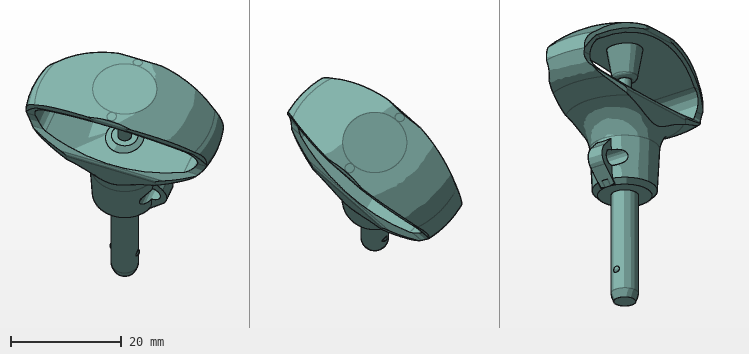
import cadquery as cq
import math


SHANK_RADIUS = 2.5
TIP_RADIUS = 2.0
TIP_LENGTH = 1.6
TIP_BULGE = 0.08
BALL_RADIUS = 0.75
BALL_PROTRUSION = 0.3
BALL_HEIGHT = 5.5

TOTAL_HEIGHT = 52.0
COLLAR_BOTTOM = 21.05
COLLAR_CHAMFER = 0.95
COLLAR_BOTTOM_RADIUS = 5.9
COLLAR_TOP = (6.33, 30.15)
NECK_MIDDLE = (7.45, 33.4)
SKIRT_INNER = (10.8, 36.08)
SKIRT_OUTER = (14.75, 38.2)
RIM = (17.95, 42.9)
DOME_EDGE = (16.3, 46.6)
DOME_MIDDLE = (12.35, 49.7)
DOME_FLAT_RADIUS = 5.8

SIDE_ARC_RADIUS = 43.0
SIDE_ARC_CREST = 8.06
TOP_HALF_WIDTH = 7.95
BASE_HALF_WIDTH = 7.2
WAIST_HALF_WIDTH = 4.2
WAIST_HEIGHT = 42.2
NOSE_HEIGHT = 50.85
UPPER_FLARE_BOTTOM = 46.0
UPPER_FLARE_ANGLE = 30.0
TOP_BEVEL_ANGLE = 45.0
LOWER_FLARE_START = (4.85, 39.88)
SIDE_EDGE_ROUND = 1.0

FLOOR_HEIGHT = 37.92
FLOOR_END = (13.35, 39.68)
OPENING_RIM = (15.7, 43.0)
CEILING_END = (13.6, 46.0)
CEILING_HEIGHT = 50.0

PLUNGER_TOP_RADIUS = 3.3
PLUNGER_BOTTOM_RADIUS = 2.2
PLUNGER_BOTTOM = 43.9
PLUNGER_ROUND = 0.85
ROD_RADIUS = 1.25
SEAT_BOTTOM_RADIUS = 3.7
SEAT_TOP_RADIUS = 2.4
SEAT_TOP = 38.5

DOME_PIN_RADIUS = 0.85
DOME_PIN_OFFSET = 6.65
DOME_PIN_LENGTH = 1.0

LUG_X = 5.96
LUG_HEIGHT = 26.0
LUG_OUTER_RADIUS = 2.76
LUG_HOLE_RADIUS = 1.53
LUG_THICKNESS = 3.2
LUG_FLANK_ANGLE = 45.0

EMBED = 0.5
MARGIN = 1.0


def mirrored(point):
    """Return the point on the other side of the vertical axis."""
    return (-point[0], point[1])


def make_revolved_body():
    """Turned collar, flared neck and domed handle."""
    return (
        cq.Workplane("YZ")
        .moveTo(0, COLLAR_BOTTOM)
        .lineTo(COLLAR_BOTTOM_RADIUS - COLLAR_CHAMFER, COLLAR_BOTTOM)
        .lineTo(COLLAR_BOTTOM_RADIUS, COLLAR_BOTTOM + COLLAR_CHAMFER)
        .lineTo(*COLLAR_TOP)
        .threePointArc(NECK_MIDDLE, SKIRT_INNER)
        .lineTo(*SKIRT_OUTER)
        .tangentArcPoint(RIM, relative=False)
        .tangentArcPoint(DOME_EDGE, relative=False)
        .threePointArc(DOME_MIDDLE, (DOME_FLAT_RADIUS, TOTAL_HEIGHT))
        .lineTo(0, TOTAL_HEIGHT)
        .close()
        .revolve(360, (0, 0), (0, 1))
    )


def make_plan_envelope():
    """Upright lens that narrows the handle towards its two ends."""
    half_length = RIM[0] + MARGIN
    arc_drop = SIDE_ARC_RADIUS - math.sqrt(SIDE_ARC_RADIUS**2 - half_length**2)
    end_half_width = SIDE_ARC_CREST - arc_drop
    return (
        cq.Workplane("XY")
        .moveTo(-half_length, -end_half_width)
        .threePointArc((0, -SIDE_ARC_CREST), (half_length, -end_half_width))
        .lineTo(half_length, end_half_width)
        .threePointArc((0, SIDE_ARC_CREST), (-half_length, end_half_width))
        .close()
        .extrude(TOTAL_HEIGHT)
    )


def make_waisted_envelope():
    """Bar along X whose YZ section has the waist, flares and flat sides of the handle."""
    flare_angle = math.radians(UPPER_FLARE_ANGLE)
    bevel_angle = math.radians(TOP_BEVEL_ANGLE)
    nose_y = TOP_HALF_WIDTH - SIDE_EDGE_ROUND
    flare_top = (
        nose_y + SIDE_EDGE_ROUND * math.cos(flare_angle),
        NOSE_HEIGHT - SIDE_EDGE_ROUND * math.sin(flare_angle),
    )
    flare_run = (flare_top[1] - UPPER_FLARE_BOTTOM) * math.tan(flare_angle)
    flare_bottom = (flare_top[0] - flare_run, UPPER_FLARE_BOTTOM)
    bevel_bottom = (
        nose_y + SIDE_EDGE_ROUND * math.cos(bevel_angle),
        NOSE_HEIGHT + SIDE_EDGE_ROUND * math.sin(bevel_angle),
    )
    bevel_run = (TOTAL_HEIGHT - bevel_bottom[1]) * math.tan(bevel_angle)
    base_y, base_z = LOWER_FLARE_START
    base_corner_z = base_z - (BASE_HALF_WIDTH - base_y)
    half_length = RIM[0] + MARGIN

    half_bar = (
        cq.Workplane("YZ", origin=(-half_length, 0, 0))
        .lineTo(BASE_HALF_WIDTH, 0)
        .lineTo(BASE_HALF_WIDTH, base_corner_z)
        .lineTo(*LOWER_FLARE_START)
        .tangentArcPoint((WAIST_HALF_WIDTH, WAIST_HEIGHT), relative=False)
        .tangentArcPoint(flare_bottom, relative=False)
        .lineTo(*flare_top)
        .threePointArc((TOP_HALF_WIDTH, NOSE_HEIGHT), bevel_bottom)
        .lineTo(bevel_bottom[0] - bevel_run, TOTAL_HEIGHT)
        .lineTo(0, TOTAL_HEIGHT)
        .close()
        .extrude(2 * half_length)
        .edges(cq.selectors.NearestToPointSelector((0, BASE_HALF_WIDTH, base_corner_z)))
        .fillet(SIDE_EDGE_ROUND)
    )
    return half_bar.union(half_bar.mirror("XZ"))


def make_finger_opening():
    """Cutter for the oval opening, running through along Y."""
    return (
        cq.Workplane("XZ")
        .moveTo(*mirrored(FLOOR_END))
        .threePointArc((0, FLOOR_HEIGHT), FLOOR_END)
        .threePointArc(OPENING_RIM, CEILING_END)
        .threePointArc((0, CEILING_HEIGHT), mirrored(CEILING_END))
        .threePointArc(mirrored(OPENING_RIM), mirrored(FLOOR_END))
        .close()
        .extrude(2 * SIDE_ARC_CREST, both=True)
    )


def make_plunger():
    """Tapered button under the dome, the rod below it and the seat around the rod."""
    button = (
        cq.Workplane("XZ")
        .moveTo(0, PLUNGER_BOTTOM)
        .lineTo(PLUNGER_BOTTOM_RADIUS, PLUNGER_BOTTOM)
        .lineTo(PLUNGER_TOP_RADIUS, CEILING_HEIGHT)
        .lineTo(PLUNGER_TOP_RADIUS, CEILING_HEIGHT + EMBED)
        .lineTo(0, CEILING_HEIGHT + EMBED)
        .close()
        .revolve(360, (0, 0), (0, 1))
        .faces("<Z")
        .edges()
        .fillet(PLUNGER_ROUND)
    )
    rod = (
        cq.Workplane("XY", origin=(0, 0, FLOOR_HEIGHT - EMBED))
        .circle(ROD_RADIUS)
        .extrude(PLUNGER_BOTTOM - FLOOR_HEIGHT + 2 * EMBED)
    )
    seat = (
        cq.Workplane("XZ")
        .moveTo(0, FLOOR_HEIGHT - EMBED)
        .lineTo(SEAT_BOTTOM_RADIUS, FLOOR_HEIGHT - EMBED)
        .lineTo(SEAT_BOTTOM_RADIUS, FLOOR_HEIGHT)
        .lineTo(SEAT_TOP_RADIUS, SEAT_TOP)
        .lineTo(0, SEAT_TOP)
        .close()
        .revolve(360, (0, 0), (0, 1))
    )
    return button.union(rod).union(seat)


def make_dome_pins():
    """Pair of round pins, reaching to the flat of the dome until they are trimmed."""
    return (
        cq.Workplane("XY", origin=(0, 0, TOTAL_HEIGHT - DOME_PIN_LENGTH))
        .pushPoints([(0, -DOME_PIN_OFFSET), (0, DOME_PIN_OFFSET)])
        .circle(DOME_PIN_RADIUS)
        .extrude(DOME_PIN_LENGTH)
    )


def make_lug():
    """Lug plate: a rounded nose with 45 degree flanks running into the collar."""
    tangent = LUG_OUTER_RADIUS * math.sin(math.radians(LUG_FLANK_ANGLE))
    root_x = COLLAR_BOTTOM_RADIUS - COLLAR_CHAMFER
    nose_x = LUG_X + tangent
    root_rise = tangent + nose_x - root_x
    return (
        cq.Workplane("XZ", origin=(0, LUG_THICKNESS / 2, 0))
        .moveTo(root_x, LUG_HEIGHT - root_rise)
        .lineTo(nose_x, LUG_HEIGHT - tangent)
        .threePointArc((LUG_X + LUG_OUTER_RADIUS, LUG_HEIGHT), (nose_x, LUG_HEIGHT + tangent))
        .lineTo(root_x, LUG_HEIGHT + root_rise)
        .close()
        .extrude(LUG_THICKNESS)
    )


def make_lug_hole():
    """Cutter for the lanyard hole, which also passes through the side of the collar."""
    return (
        cq.Workplane("XZ")
        .center(LUG_X, LUG_HEIGHT)
        .circle(LUG_HOLE_RADIUS)
        .extrude(COLLAR_TOP[0] + MARGIN, both=True)
    )


def make_shank():
    """Round shank with a slightly bulged taper at the tip and two locking balls on the X sides."""
    tip_middle = ((SHANK_RADIUS + TIP_RADIUS) / 2 + TIP_BULGE, TIP_LENGTH / 2)
    shank = (
        cq.Workplane("XZ")
        .lineTo(TIP_RADIUS, 0)
        .threePointArc(tip_middle, (SHANK_RADIUS, TIP_LENGTH))
        .lineTo(SHANK_RADIUS, COLLAR_BOTTOM + MARGIN)
        .lineTo(0, COLLAR_BOTTOM + MARGIN)
        .close()
        .revolve(360, (0, 0), (0, 1))
    )
    ball_offset = SHANK_RADIUS + BALL_PROTRUSION - BALL_RADIUS
    for side in (-1, 1):
        ball = cq.Workplane("XY", origin=(side * ball_offset, 0, BALL_HEIGHT)).sphere(BALL_RADIUS)
        shank = shank.union(ball)
    return shank


turned_body = make_revolved_body().union(make_lug()).cut(make_lug_hole())
handle = turned_body.intersect(make_plan_envelope()).intersect(make_waisted_envelope())
handle = handle.cut(make_finger_opening()).union(make_plunger())
pin = handle.union(make_shank())

dome_pins = make_dome_pins().intersect(pin)
result = pin.cut(dome_pins).union(dome_pins, clean=False)